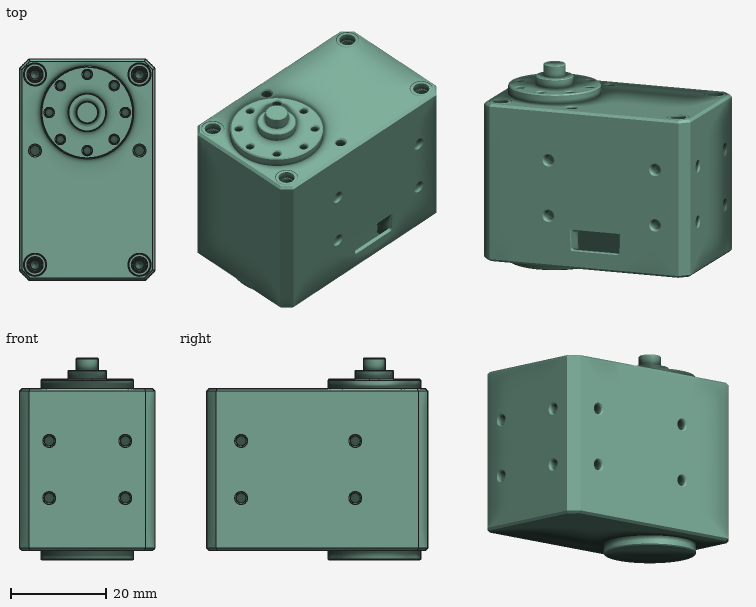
import cadquery as cq
import math

BODY_X = 28.5
BODY_Y = 46.5
BODY_Z = 34.0
CORNER_CHAMFER = 2.0
EDGE_CHAMFER = 0.5

AXIS_Y = 12.0
FLANGE_DIAMETER = 19.55
FLANGE_HEIGHT = 2.0
FLANGE_CHAMFER = 0.25
FLANGE_HOLE_COUNT = 8
FLANGE_HOLE_CIRCLE_RADIUS = 8.0
FLANGE_HOLE_DIAMETER = 1.67
FLANGE_HOLE_MOUTH = 2.2

HUB_DIAMETER = 8.05
HUB_HEIGHT = 1.85
TIP_DIAMETER = 4.65
TIP_HEIGHT = 2.55
SHAFT_CHAMFER = 0.15

MOUNT_HOLE_DIAMETER = 2.1
MOUNT_HOLE_MOUTH = 2.7
MOUNT_HOLE_DEPTH = 3.0
MOUNT_HOLE_HEIGHTS = (11.0, 23.0)
FRONT_HOLE_X = 8.0
SIDE_HOLE_YS = (-16.0, 8.0)
TOP_HOLE_X = 10.97
TOP_HOLE_Y = 4.0

SCREW_X = TOP_HOLE_X
SCREW_Y = 20.0
SCREW_DIAMETER = 4.85
SCREW_LENGTH = 6.0
SCREW_CHAMFER = 0.2
SOCKET_DIAMETER = 3.4
SOCKET_DEPTH = 1.5
SPLINE_DEPTH = 0.2
SPLINE_ROOT_DIAMETER = 2.6
SPLINE_SLOT_COUNT = 18
SPLINE_SLOT_ANGLE = 10.0
CORE_DEPTH = 1.4
DRILL_DIAMETER = 1.95
DRILL_TIP_ANGLE = 118.0

BEZEL_Y = -2.5
BEZEL_WIDTH = 13.0
BEZEL_HEIGHT = 8.45
BEZEL_DEPTH = 4.1
BEZEL_FLOOR = 0.9
OPENING_SILL = 4.05
OPENING_TOP_WIDTH = 10.97
OPENING_BOTTOM_WIDTH = 10.65
OPENING_FILLET = 0.4
OPENING_CHAMFER = 0.2
LIP_THICKNESS = 0.7
CHAMBER_SIDE_CLEARANCE = 1.45
CHAMBER_LENGTH = 5.6

SIDE_X = BODY_X / 2
FRONT_Y = BODY_Y / 2
FLANGE_TOP = BODY_Z + FLANGE_HEIGHT
HUB_TOP = FLANGE_TOP + HUB_HEIGHT


def cone_mouthed_hole(position, direction, diameter, mouth, depth):
    """Cutter for a round hole whose rim is opened by a 45 degree chamfer."""
    start = cq.Vector(*position)
    inward = cq.Vector(*direction)
    bore = cq.Solid.makeCylinder(diameter / 2, depth, start, inward)
    rim = cq.Solid.makeCone(mouth / 2, diameter / 2, (mouth - diameter) / 2, start, inward)
    return bore.fuse(rim)


def mount_hole(position, direction):
    return cone_mouthed_hole(position, direction, MOUNT_HOLE_DIAMETER, MOUNT_HOLE_MOUTH, MOUNT_HOLE_DEPTH)


def chamfered_block():
    """Full outer block, including the part of the notch that the bezel fills."""
    block = cq.Workplane("XY").box(BODY_X, BODY_Y, BODY_Z, centered=(True, True, False))
    block = block.edges("|Z").chamfer(CORNER_CHAMFER)
    return block.faces("<Z or >Z").edges().chamfer(EDGE_CHAMFER)


def side_box(x_start, length, width, z_bottom, z_top):
    """Box starting at a depth behind the -X face, centred on the bezel in Y."""
    box = cq.Workplane("XY").box(length, width, z_top - z_bottom, centered=(False, True, False))
    return box.translate((-SIDE_X + x_start, BEZEL_Y, z_bottom))


def bezel_envelope():
    return side_box(0, BEZEL_DEPTH, BEZEL_WIDTH, 0, BEZEL_HEIGHT)


def screw_positions():
    return [(sx * SCREW_X, sy * SCREW_Y) for sx in (-1, 1) for sy in (-1, 1)]


def screw_blank():
    """Plain screw cylinder below the top face, at the origin in X and Y."""
    blank = cq.Workplane("XY").workplane(offset=BODY_Z - SCREW_LENGTH)
    return blank.circle(SCREW_DIAMETER / 2).extrude(SCREW_LENGTH)


def make_housing():
    housing = chamfered_block().cut(bezel_envelope())

    chamber_width = OPENING_TOP_WIDTH + 2 * CHAMBER_SIDE_CLEARANCE
    housing = housing.cut(side_box(BEZEL_DEPTH, CHAMBER_LENGTH, chamber_width, BEZEL_FLOOR, BEZEL_HEIGHT))

    for x, y in screw_positions():
        housing = housing.cut(screw_blank().translate((x, y, 0)))

    for side in (-1, 1):
        housing = housing.cut(mount_hole((side * TOP_HOLE_X, TOP_HOLE_Y, BODY_Z), (0, 0, -1)))
        for z in MOUNT_HOLE_HEIGHTS:
            housing = housing.cut(mount_hole((side * FRONT_HOLE_X, -FRONT_Y, z), (0, 1, 0)))
            for y in SIDE_HOLE_YS:
                housing = housing.cut(mount_hole((side * SIDE_X, y, z), (-side, 0, 0)))
    return housing


def disc(diameter, height, z_bottom):
    blank = cq.Workplane("XY").workplane(offset=z_bottom).center(0, AXIS_Y)
    return blank.circle(diameter / 2).extrude(height)


def make_output_flange():
    flange = disc(FLANGE_DIAMETER, FLANGE_HEIGHT, BODY_Z).faces(">Z").edges().chamfer(FLANGE_CHAMFER)
    for i in range(FLANGE_HOLE_COUNT):
        angle = 2 * math.pi * i / FLANGE_HOLE_COUNT
        x = FLANGE_HOLE_CIRCLE_RADIUS * math.cos(angle)
        y = AXIS_Y + FLANGE_HOLE_CIRCLE_RADIUS * math.sin(angle)
        hole = cone_mouthed_hole(
            (x, y, FLANGE_TOP), (0, 0, -1), FLANGE_HOLE_DIAMETER, FLANGE_HOLE_MOUTH, FLANGE_HEIGHT
        )
        flange = flange.cut(hole)
    return flange


def make_rear_flange():
    return disc(FLANGE_DIAMETER, FLANGE_HEIGHT, -FLANGE_HEIGHT).faces("<Z").edges().chamfer(FLANGE_CHAMFER)


def make_hub():
    return disc(HUB_DIAMETER, HUB_HEIGHT, FLANGE_TOP).faces(">Z").edges().chamfer(SHAFT_CHAMFER)


def make_shaft_tip():
    return disc(TIP_DIAMETER, TIP_HEIGHT, HUB_TOP).faces(">Z").edges().chamfer(SHAFT_CHAMFER)


def polar(radius, angle):
    return (radius * math.cos(math.radians(angle)), radius * math.sin(math.radians(angle)))


def spline_outline(plane):
    """Ring of equal radial slots between the root circle and the socket circle."""
    outer = SOCKET_DIAMETER / 2
    root = SPLINE_ROOT_DIAMETER / 2
    pitch = 360 / SPLINE_SLOT_COUNT
    half = SPLINE_SLOT_ANGLE / 2
    outline = plane.moveTo(*polar(root, -half))
    for i in range(SPLINE_SLOT_COUNT):
        middle = i * pitch
        outline = outline.lineTo(*polar(outer, middle - half))
        outline = outline.threePointArc(polar(outer, middle), polar(outer, middle + half))
        outline = outline.lineTo(*polar(root, middle + half))
        outline = outline.threePointArc(polar(root, middle + pitch / 2), polar(root, middle + pitch - half))
    return outline.close()


def make_screw(x, y):
    screw = screw_blank().faces(">Z").edges().chamfer(SCREW_CHAMFER)
    top = cq.Workplane("XY").workplane(offset=BODY_Z)
    screw = screw.cut(top.circle(SOCKET_DIAMETER / 2).extrude(-SOCKET_DEPTH))

    spline_top = cq.Workplane("XY").workplane(offset=BODY_Z - SOCKET_DEPTH)
    screw = screw.cut(spline_outline(spline_top).extrude(-SPLINE_DEPTH))

    down = cq.Vector(0, 0, -1)
    drill_radius = DRILL_DIAMETER / 2
    core_start = cq.Vector(0, 0, BODY_Z - SOCKET_DEPTH - SPLINE_DEPTH)
    core = cq.Solid.makeCone(SPLINE_ROOT_DIAMETER / 2, drill_radius, CORE_DEPTH, core_start, down)
    tip_depth = drill_radius / math.tan(math.radians(DRILL_TIP_ANGLE / 2))
    tip_start = core_start + down * CORE_DEPTH
    tip = cq.Solid.makeCone(drill_radius, 0, tip_depth, tip_start, down)
    screw = screw.cut(core).cut(tip)
    return screw.translate((x, y, 0))


def opening_prism(x_start, length, z_bottom):
    """Wedge-sided opening, widening upwards, that starts at a depth behind the -X face."""
    side_slope = (OPENING_TOP_WIDTH - OPENING_BOTTOM_WIDTH) / 2 / (BEZEL_HEIGHT - OPENING_SILL)
    top_half = OPENING_TOP_WIDTH / 2
    bottom_half = top_half - side_slope * (BEZEL_HEIGHT - z_bottom)
    outline = [
        (-top_half, BEZEL_HEIGHT),
        (-bottom_half, z_bottom),
        (bottom_half, z_bottom),
        (top_half, BEZEL_HEIGHT),
    ]
    plane = cq.Workplane("YZ", origin=(-SIDE_X + x_start, BEZEL_Y, 0))
    return plane.polyline(outline).close().extrude(length)


def make_bezel():
    bezel = chamfered_block().intersect(bezel_envelope())
    opening = opening_prism(0, LIP_THICKNESS, OPENING_SILL).edges("|X and <Z").fillet(OPENING_FILLET)
    cavity = opening_prism(LIP_THICKNESS, BEZEL_DEPTH - LIP_THICKNESS, BEZEL_FLOOR)
    bezel = bezel.cut(opening).cut(cavity)

    rim_low = (-SIDE_X - OPENING_CHAMFER, BEZEL_Y - OPENING_TOP_WIDTH / 2, OPENING_SILL - OPENING_CHAMFER)
    rim_high = (-SIDE_X + OPENING_CHAMFER, BEZEL_Y + OPENING_TOP_WIDTH / 2, BEZEL_HEIGHT - OPENING_CHAMFER)
    return bezel.edges(cq.selectors.BoxSelector(rim_low, rim_high)).chamfer(OPENING_CHAMFER)


housing = make_housing()
output_flange = make_output_flange()
rear_flange = make_rear_flange()
hub = make_hub()
shaft_tip = make_shaft_tip()
bezel = make_bezel()
screws = [make_screw(x, y).val() for x, y in screw_positions()]

result = cq.Compound.makeCompound(
    [
        housing.val(),
        output_flange.val(),
        rear_flange.val(),
        hub.val(),
        shaft_tip.val(),
        bezel.val(),
        *screws,
    ]
)